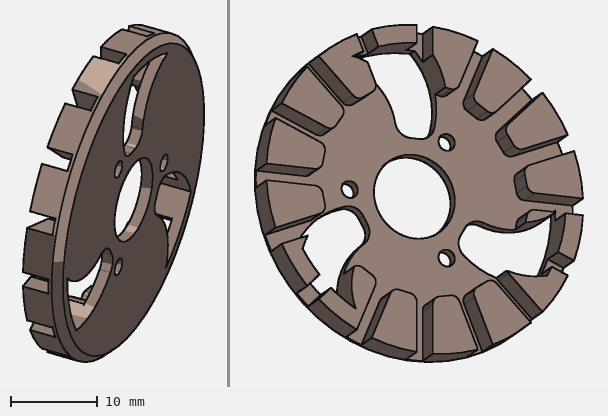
import cadquery as cq
import math

OUTER_RADIUS = 19.65
TOTAL_THICKNESS = 4.67
BACK_CHAMFER = 1.0
BORE_DIAMETER = 10.0
CUTTER_REACH = OUTER_RADIUS + 1.95

TOOTH_COUNT = 16
SLOT_WIDTH = 2.0
SLOT_DEPTH = 3.25
TOOTH_INNER_DISTANCE = 12.75
TOOTH_CORNER_RADIUS = 1.0
PLATE_THICKNESS = TOTAL_THICKNESS - SLOT_DEPTH
TOOTH_PITCH = 360.0 / TOOTH_COUNT

BOLT_HOLE_COUNT = 3
BOLT_HOLE_DIAMETER = 2.0
BOLT_CIRCLE_RADIUS = 8.0

WINDOW_COUNT = 3
WINDOW_RIM_RADIUS = 17.48
WINDOW_TIP_ANGLE = 30.7
WINDOW_BASE_HEIGHT = 7.0
WINDOW_BASE_LEFT = -2.25
WINDOW_BASE_RIGHT = 2.0
WINDOW_CONVEX_RADIUS = 9.8
WINDOW_CONCAVE_RADIUS = 7.95
WINDOW_CORNER_RADIUS = 1.9


def facing_front(x=0):
    """Workplane at depth x that faces -X, with -Y to its right and Z up."""
    return cq.Workplane(cq.Plane(origin=(x, 0, 0), xDir=(0, -1, 0), normal=(-1, 0, 0)))


def spin(shape, degrees):
    """Turn a shape about the disc axis."""
    return shape.rotate((0, 0, 0), (1, 0, 0), degrees)


def point_on_rim(degrees_from_up):
    """Point on the outer arc of a window, measured anticlockwise from straight up."""
    angle = math.radians(degrees_from_up)
    return (-WINDOW_RIM_RADIUS * math.sin(angle), WINDOW_RIM_RADIUS * math.cos(angle))


def make_disc():
    """Full-height disc, chamfered at the back; its back face lies at X = 0."""
    disc = facing_front().circle(OUTER_RADIUS).extrude(TOTAL_THICKNESS)
    return disc.faces(">X").edges().chamfer(BACK_CHAMFER)


def make_tooth():
    """Tooth blank centred straight up, running past the rim, its sides parallel to the slots."""
    half_pitch = math.radians(TOOTH_PITCH / 2)

    def half_width(height):
        return height * math.tan(half_pitch) - SLOT_WIDTH / 2 / math.cos(half_pitch)

    inner = half_width(TOOTH_INNER_DISTANCE)
    outer = half_width(CUTTER_REACH)
    return (
        facing_front()
        .polyline([
            (-inner, TOOTH_INNER_DISTANCE),
            (inner, TOOTH_INNER_DISTANCE),
            (outer, CUTTER_REACH),
            (-outer, CUTTER_REACH),
        ])
        .close()
        .extrude(TOTAL_THICKNESS)
        .edges("|X and <Z")
        .fillet(TOOTH_CORNER_RADIUS)
    )


def make_recess():
    """Everything removed from the front of the disc to leave the teeth standing."""
    recess = facing_front(-PLATE_THICKNESS).circle(CUTTER_REACH).extrude(SLOT_DEPTH)
    tooth = make_tooth()
    for index in range(TOOTH_COUNT):
        recess = recess.cut(spin(tooth, (index + 0.5) * TOOTH_PITCH))
    return recess


def make_window():
    """Cutter for the hooked window whose peak is straight up."""
    tip = point_on_rim(WINDOW_TIP_ANGLE)
    rim_middle = point_on_rim(WINDOW_TIP_ANGLE / 2)
    peak = point_on_rim(0)
    return (
        facing_front()
        .moveTo(*tip)
        .threePointArc(rim_middle, peak)
        .radiusArc((WINDOW_BASE_RIGHT, WINDOW_BASE_HEIGHT), WINDOW_CONVEX_RADIUS)
        .lineTo(WINDOW_BASE_LEFT, WINDOW_BASE_HEIGHT)
        .radiusArc(tip, -WINDOW_CONCAVE_RADIUS)
        .close()
        .extrude(TOTAL_THICKNESS)
        .edges("|X and <Z")
        .fillet(WINDOW_CORNER_RADIUS)
    )


def make_bolt_holes():
    """Cutters for the bolt holes, the first one on the +Y side."""
    return (
        facing_front()
        .polarArray(BOLT_CIRCLE_RADIUS, 180, 360, BOLT_HOLE_COUNT)
        .circle(BOLT_HOLE_DIAMETER / 2)
        .extrude(PLATE_THICKNESS)
    )


result = make_disc().cut(make_recess())

window = make_window()
for index in range(WINDOW_COUNT):
    result = result.cut(spin(window, index * 360.0 / WINDOW_COUNT))

bore = facing_front().circle(BORE_DIAMETER / 2).extrude(PLATE_THICKNESS)
result = result.cut(bore).cut(make_bolt_holes())